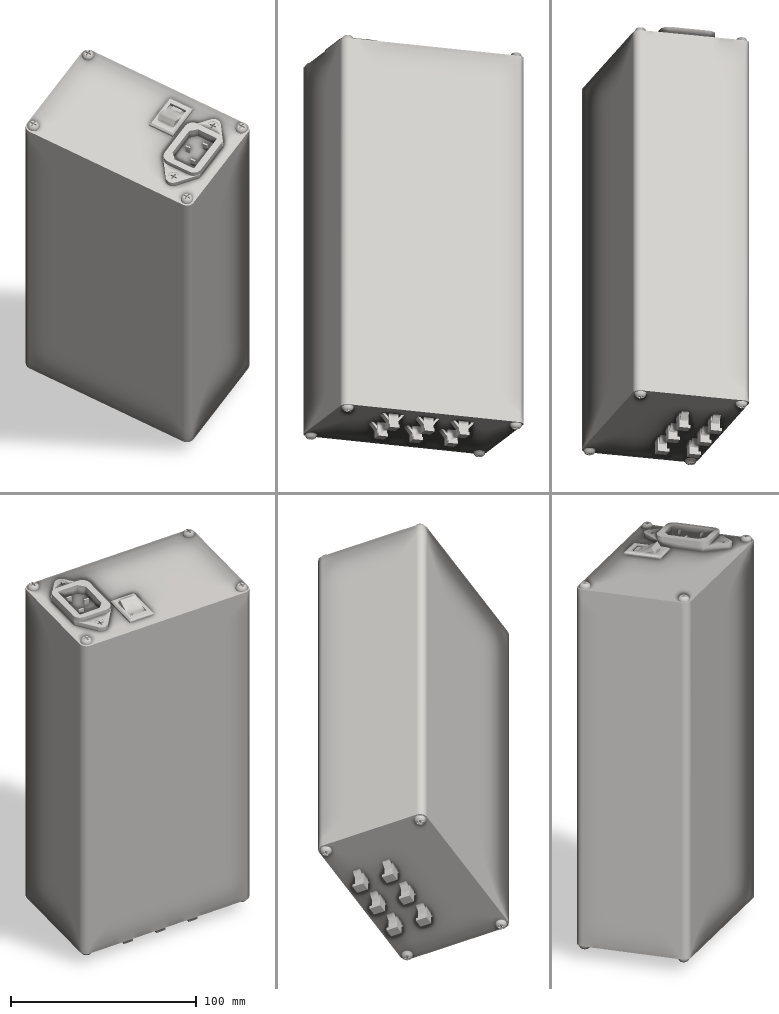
import cadquery as cq

TOTAL_H = 219.2
CASE_X = 105.0
CASE_Y = 65.0
CASE_H = 205.5
CASE_CORNER_R = 4.2

SCREW_INSET = CASE_CORNER_R
SCREW_D = 6.4
SCREW_H = 2.5
SCREW_TOP_D = 4.0
SCREW_BULGE = (2.8, 1.5)
CROSS_LENGTH = 3.7
CROSS_WIDTH = 0.9
CROSS_DEPTH = 1.0

INLET_CENTER = (35.0, 0)
INLET_X = 22.8
INLET_Y = 30.5
INLET_H = 5.7
INLET_CORNER_R = 4.5
FLANGE_H = 2.8
FLANGE_SIDE_Y = 25.0
FLANGE_APEX_Y = 27.6
FLANGE_TIP_R = 4.0
FLANGE_SCREW_Y = 20.4
FLANGE_SCREW_D = 6.0
FLANGE_SCREW_SINK = 0.2
SOCKET_X = 15.5
SOCKET_Y = 24.1
SOCKET_CHAMFER = 3.5
SOCKET_CORNER_R = 0.7
PIN_X = 2.8
PIN_Y = 0.9
PIN_H = 4.4
GROUND_PIN_X = -3.3
LIVE_PIN_X = 3.7
LIVE_PIN_Y = 6.4

SWITCH_CENTER = (12.0, 15.1)
BEZEL_X = 15.0
BEZEL_Y = 21.3
BEZEL_H = 2.0
BEZEL_CHAMFER = 0.9
ROCKER_X = 9.9
ROCKER_OFFSET_X = 0.2
ROCKER_BACK = 6.5
ROCKER_GAP = 0.7
ROCKER_FRONT = -6.4
ROCKER_CREST = -4.2
ROCKER_CREST_H = 5.3
ROCKER_BACK_H = 0.9
ROCKER_SAG = 0.77
MARK_X = 5.7
MARK_Y = 2.2
MARK_H = 1.42

TERMINAL_PITCH_X = 20.2
TERMINAL_ROWS_Y = (3.5, 21.3)
POST_X = 5.5
POST_Y = 5.0
POST_H = TOTAL_H - CASE_H - INLET_H
FOOT_Y = 1.3
FOOT_H = 1.8
ARM_REACH = 6.1
ARM_DROP = 4.0
ARM_THICKNESS_X = 1.5
ARM_Y = 4.2


def block(x, y, height, center, base):
    """Upright box standing on the level `base`."""
    return cq.Workplane("XY").box(x, y, height, centered=(True, True, False)).translate((*center, base))


def cross_recess(center, top):
    """Cutter for a cross recess that opens at the level `top`."""
    bottom = top - CROSS_DEPTH
    bar = block(CROSS_LENGTH, CROSS_WIDTH, CROSS_DEPTH, center, bottom)
    return bar.union(block(CROSS_WIDTH, CROSS_LENGTH, CROSS_DEPTH, center, bottom))


def case():
    return block(CASE_X, CASE_Y, CASE_H, (0, 0), 0).edges("|Z").fillet(CASE_CORNER_R)


def screw_head():
    """Domed head with a small flat top, standing on Z = 0."""
    profile = (
        cq.Workplane("XZ")
        .lineTo(SCREW_D / 2, 0)
        .threePointArc(SCREW_BULGE, (SCREW_TOP_D / 2, SCREW_H))
        .lineTo(0, SCREW_H)
        .close()
    )
    return profile.revolve(360, (0, 0), (0, 1))


def top_screws():
    """Domed screw heads in the four corners of the top face."""
    heads = []
    for side_x in (-1, 1):
        for side_y in (-1, 1):
            center = (side_x * (CASE_X / 2 - SCREW_INSET), side_y * (CASE_Y / 2 - SCREW_INSET))
            head = screw_head().translate((*center, CASE_H))
            heads.append(head.cut(cross_recess(center, CASE_H + SCREW_H)))
    return heads


def inlet():
    """Mains inlet: screw flange, rounded collar, keyed socket and three pins."""
    half_x = INLET_X / 2
    half_y = FLANGE_SIDE_Y / 2
    outline = [
        (half_x, -half_y), (half_x, half_y), (0, FLANGE_APEX_Y),
        (-half_x, half_y), (-half_x, -half_y), (0, -FLANGE_APEX_Y),
    ]
    flange = cq.Workplane("XY").polyline(outline).close().extrude(FLANGE_H)
    flange = flange.edges("|Z and (>Y or <Y)").fillet(FLANGE_TIP_R)
    for screw_y in (-FLANGE_SCREW_Y, FLANGE_SCREW_Y):
        screw_top = FLANGE_H - FLANGE_SCREW_SINK
        seat = cq.Workplane("XY", origin=(0, screw_y, screw_top))
        seat = seat.circle(FLANGE_SCREW_D / 2).extrude(FLANGE_SCREW_SINK)
        flange = flange.cut(seat).cut(cross_recess((0, screw_y), screw_top))

    collar = block(INLET_X, INLET_Y, INLET_H, (0, 0), 0).edges("|Z").fillet(INLET_CORNER_R)
    socket = block(SOCKET_X, SOCKET_Y, INLET_H, (0, 0), 0)
    socket = socket.edges("|Z and <X").chamfer(SOCKET_CHAMFER)
    socket = socket.edges("|Z and >X").fillet(SOCKET_CORNER_R)
    body = flange.union(collar).cut(socket)

    pin_centers = [(GROUND_PIN_X, 0), (LIVE_PIN_X, LIVE_PIN_Y), (LIVE_PIN_X, -LIVE_PIN_Y)]
    for center in pin_centers:
        body = body.union(block(PIN_X, PIN_Y, PIN_H, center, 0))
    return body.translate((*INLET_CENTER, CASE_H))


def switch():
    """Rocker switch: chamfered bezel and a rocker with a hollow face rising to its crest."""
    bezel = block(BEZEL_X, BEZEL_Y, BEZEL_H, (0, 0), 0).faces(">Z").chamfer(BEZEL_CHAMFER)
    opening_back = ROCKER_BACK + ROCKER_GAP
    opening_y = opening_back - ROCKER_FRONT
    opening_center = (ROCKER_OFFSET_X, (opening_back + ROCKER_FRONT) / 2)
    bezel = bezel.cut(block(ROCKER_X, opening_y, BEZEL_H, opening_center, 0))

    face_middle = (
        (ROCKER_BACK + ROCKER_CREST) / 2,
        (ROCKER_BACK_H + ROCKER_CREST_H) / 2 - ROCKER_SAG,
    )
    rocker = (
        cq.Workplane("YZ")
        .moveTo(ROCKER_FRONT, 0)
        .lineTo(ROCKER_BACK, 0)
        .lineTo(ROCKER_BACK, ROCKER_BACK_H)
        .threePointArc(face_middle, (ROCKER_CREST, ROCKER_CREST_H))
        .lineTo(ROCKER_FRONT, BEZEL_H)
        .close()
        .extrude(ROCKER_X / 2, both=True)
    )
    mark = block(MARK_X, MARK_Y, MARK_H, (0, ROCKER_BACK - MARK_Y / 2), 0)
    rocker = rocker.union(mark).translate((ROCKER_OFFSET_X, 0, 0))
    return bezel.union(rocker).translate((*SWITCH_CENTER, CASE_H))


def terminal(center):
    """Terminal post with a foot lip on its +Y side and two sloped spring arms."""
    post = block(POST_X, POST_Y, POST_H, (0, 0), -POST_H)
    foot = block(POST_X, FOOT_Y, FOOT_H, (0, (POST_Y + FOOT_Y) / 2), -POST_H)
    post = post.union(foot)
    root_x = POST_X / 2
    slope = ARM_DROP / (ARM_REACH - root_x)
    inner_tip = ARM_REACH - ARM_THICKNESS_X
    for side in (-1, 1):
        arm_outline = [
            (side * root_x, -ARM_DROP),
            (side * ARM_REACH, 0),
            (side * inner_tip, 0),
            (side * root_x, -slope * (inner_tip - root_x)),
        ]
        arm = cq.Workplane("XZ").polyline(arm_outline).close().extrude(ARM_Y / 2, both=True)
        post = post.union(arm)
    return post.translate((*center, 0))


result = case().union(inlet()).union(switch())
for screw in top_screws():
    lower_screw = screw.mirror("XY", (0, 0, CASE_H / 2))
    result = result.union(screw).union(lower_screw)
for column in (-1, 0, 1):
    for row_y in TERMINAL_ROWS_Y:
        result = result.union(terminal((column * TERMINAL_PITCH_X, row_y)))
result = result.solids()